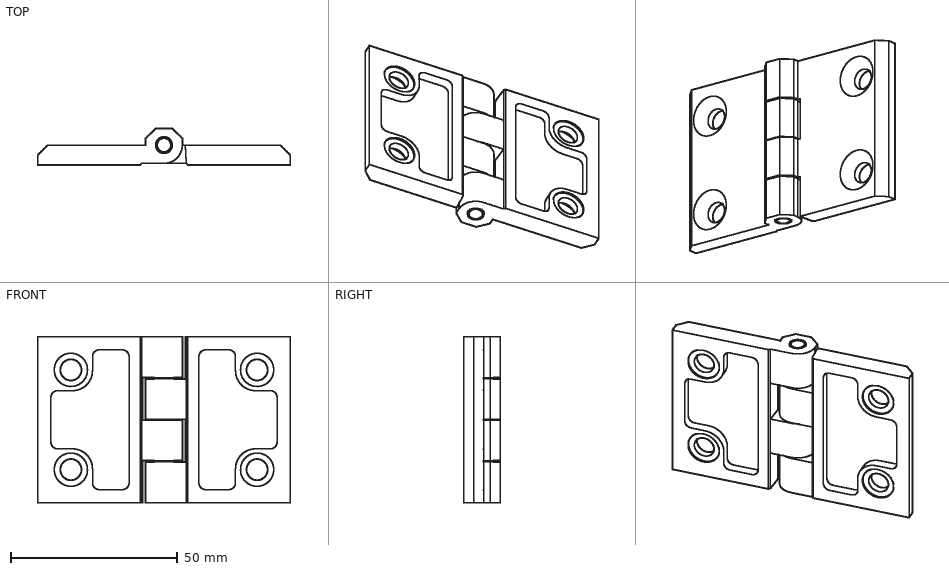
import cadquery as cq
import math


height = 50.0
leaf_reach = 38.0
plate_thickness = 6.0
outer_bevel = 3.0
plate_edge_x = 6.4
plate_edge_lean = 0.3
inner_bevel = 0.5
web_x = -plate_edge_x - plate_edge_lean

barrel_radius = 5.5
knuckle_half_width = 5.6
knuckle_back_y = 5.0
facet_width = 3.1
facet_depth = 3.0
knuckle_pitch = height / 4
knuckle_gap = 0.4
middle_gap = 0.2
spacer_diameter = 6.0
spacer_height = knuckle_gap / 2

pin_diameter = 5.0
pin_bevel = 0.45

hole_diameter = 6.3
counterbore_diameter = 10.0
counterbore_depth = 0.5
countersink_depth = 3.1
countersink_half_angle = 45.0
hole_x = 28.0
hole_z = 15.0

pocket_depth = 3.0
pocket_outer_x = 34.0
pocket_inner_x = 10.5
pocket_half_height = 21.0
hole_pad_x = 21.5
hole_pad_z = 8.75
hole_pad_radius = 6.0
pocket_corner_radius = 2.0

top_z = height / 2
knuckle_spans = [
    (knuckle_pitch + knuckle_gap / 2, top_z),
    (-knuckle_pitch + knuckle_gap / 2, -middle_gap / 2),
]


def make_plate():
    """Flat plate with a bevelled outer back edge and a bevelled inner front edge."""
    return (
        cq.Workplane("XY", origin=(0, 0, -top_z))
        .moveTo(-leaf_reach, -plate_thickness)
        .lineTo(web_x - inner_bevel, -plate_thickness)
        .lineTo(web_x, -plate_thickness + inner_bevel)
        .lineTo(-plate_edge_x, 0)
        .lineTo(-leaf_reach + outer_bevel, 0)
        .lineTo(-leaf_reach, -outer_bevel)
        .close()
        .extrude(height)
    )


def make_knuckle(bottom, top):
    """Knuckle with its web to the plate, and a spacer boss on its lower end."""
    arc_middle = barrel_radius * math.sqrt(0.5)
    barrel = (
        cq.Workplane("XY", origin=(0, 0, bottom))
        .moveTo(web_x, -barrel_radius)
        .lineTo(0, -barrel_radius)
        .threePointArc((arc_middle, -arc_middle), (barrel_radius, 0))
        .lineTo(knuckle_half_width, 0)
        .lineTo(knuckle_half_width, knuckle_back_y - facet_depth)
        .lineTo(knuckle_half_width - facet_width, knuckle_back_y)
        .lineTo(-knuckle_half_width + facet_width, knuckle_back_y)
        .lineTo(-knuckle_half_width, knuckle_back_y - facet_depth)
        .lineTo(-knuckle_half_width, 0)
        .lineTo(web_x, 0)
        .close()
        .extrude(top - bottom)
    )
    spacer = (
        cq.Workplane("XY", origin=(0, 0, bottom - spacer_height))
        .circle(spacer_diameter / 2)
        .extrude(spacer_height)
    )
    return barrel.union(spacer)


def make_screw_holes():
    """Cutter for the two screw holes, counterbored in front and countersunk behind."""
    front = cq.Workplane("XZ", origin=(0, -plate_thickness, 0))
    centres = [(-hole_x, hole_z), (-hole_x, -hole_z)]
    through = front.pushPoints(centres).circle(hole_diameter / 2).extrude(-plate_thickness)
    counterbores = front.pushPoints(centres).circle(counterbore_diameter / 2).extrude(-counterbore_depth)
    countersinks = (
        cq.Workplane("XZ")
        .pushPoints(centres)
        .circle(hole_diameter / 2 + countersink_depth)
        .extrude(countersink_depth, taper=countersink_half_angle)
    )
    return through.union(counterbores).union(countersinks)


def make_pocket():
    """Cutter for the front pocket: a rounded rectangle less a pad around each screw hole."""
    pocket = (
        cq.Workplane("XZ", origin=(0, -plate_thickness, 0))
        .moveTo(-pocket_inner_x, -pocket_half_height)
        .lineTo(-pocket_inner_x, pocket_half_height)
        .lineTo(-hole_pad_x, pocket_half_height)
        .lineTo(-hole_pad_x, hole_pad_z)
        .lineTo(-pocket_outer_x, hole_pad_z)
        .lineTo(-pocket_outer_x, -hole_pad_z)
        .lineTo(-hole_pad_x, -hole_pad_z)
        .lineTo(-hole_pad_x, -pocket_half_height)
        .close()
        .extrude(-pocket_depth)
    )
    margin = pocket_corner_radius / 2
    pad_corners = cq.selectors.BoxSelector(
        (-hole_pad_x - margin, -plate_thickness - margin, -hole_pad_z - margin),
        (-hole_pad_x + margin, margin, hole_pad_z + margin),
    )
    pocket = pocket.edges("|Y").edges(-pad_corners).fillet(pocket_corner_radius)
    return pocket.edges("|Y").edges(pad_corners).fillet(hole_pad_radius)


def make_leaf():
    """Left leaf: plate and two knuckles in one solid."""
    leaf = make_plate()
    for bottom, top in knuckle_spans:
        leaf = leaf.union(make_knuckle(bottom, top))
    pin_bore = cq.Workplane("XY").circle(pin_diameter / 2).extrude(top_z, both=True)
    return leaf.cut(pin_bore).cut(make_screw_holes()).cut(make_pocket())


def make_pin():
    """Full-height pin with bevelled ends."""
    return (
        cq.Workplane("XY", origin=(0, 0, -top_z))
        .circle(pin_diameter / 2)
        .extrude(height)
        .faces("<Z or >Z")
        .edges()
        .chamfer(pin_bevel)
    )


half_turn = 180.0
leaves = []
for turn in (0.0, half_turn):
    leaves.append(make_leaf().rotate((0, 0, 0), (0, 1, 0), turn).val())

pin = make_pin()

result = cq.Compound.makeCompound([*leaves, pin.val()])